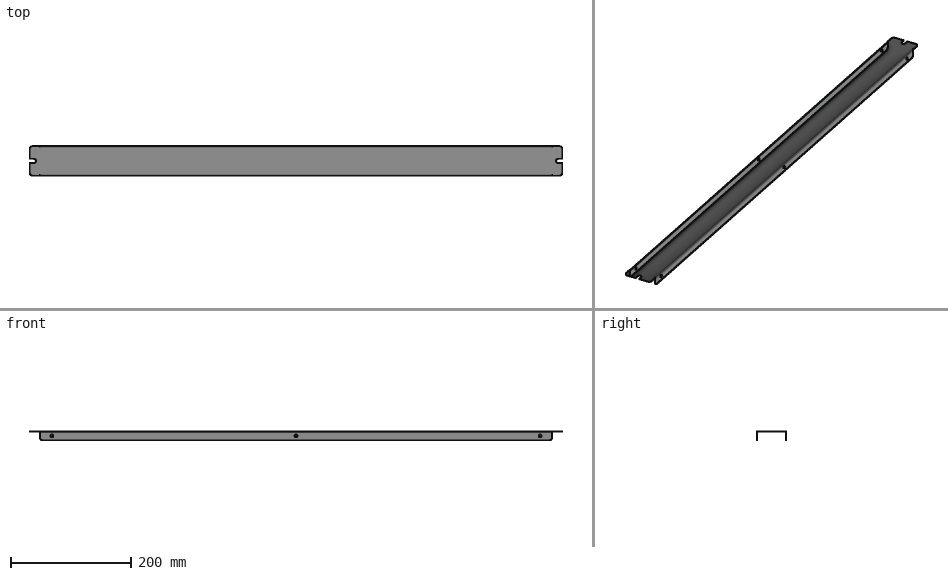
import cadquery as cq

length = 886.5
width = 49.6
height = 15.0

thickness = 0.8
inner_bend_radius = 0.6
outer_bend_radius = inner_bend_radius + thickness

tongue_length = 17.0
flange_length = length - 2 * tongue_length

corner_radius = 5.0

slot_width = 6.5
slot_depth = 10.5

hole_diameter = 4.2
hole_drop = 7.5
hole_from_flange_end = 20.0
hole_spacing = flange_length / 2 - hole_from_flange_end


def make_channel():
    """U-shaped folded length, open downward, with its top face at Z = 0."""
    outside = (
        cq.Workplane("XY")
        .box(flange_length, width, height)
        .translate((0, 0, -height / 2))
        .edges("|X and >Z")
        .fillet(outer_bend_radius)
    )
    inside = (
        cq.Workplane("XY")
        .box(flange_length, width - 2 * thickness, height)
        .translate((0, 0, -height / 2 - thickness))
        .edges("|X and >Z")
        .fillet(inner_bend_radius)
    )
    channel = outside.cut(inside)
    return channel.edges("|Y and <Z").fillet(corner_radius)


def make_tongue(side):
    """Flat end of the web on one side (-1 or +1 along X)."""
    outer_end = ">X" if side > 0 else "<X"
    return (
        cq.Workplane("XY")
        .box(tongue_length, width, thickness)
        .translate((side * (length - tongue_length) / 2, 0, -thickness / 2))
        .edges(f"|Z and {outer_end}")
        .fillet(corner_radius)
    )


def make_slot(side):
    """Cutter for the round-bottomed slot in one tongue."""
    slot_length = 2 * slot_depth
    return (
        cq.Workplane("XY")
        .center(side * length / 2, 0)
        .slot2D(slot_length, slot_width)
        .extrude(-thickness)
    )


def make_flange_holes():
    """Cutter for the row of holes through both flanges."""
    positions = [(step * hole_spacing, -hole_drop) for step in (-1, 0, 1)]
    return (
        cq.Workplane("XZ")
        .pushPoints(positions)
        .circle(hole_diameter / 2)
        .extrude(width / 2, both=True)
    )


result = make_channel()
for side in (-1, 1):
    result = result.union(make_tongue(side))
    result = result.cut(make_slot(side))
result = result.cut(make_flange_holes())